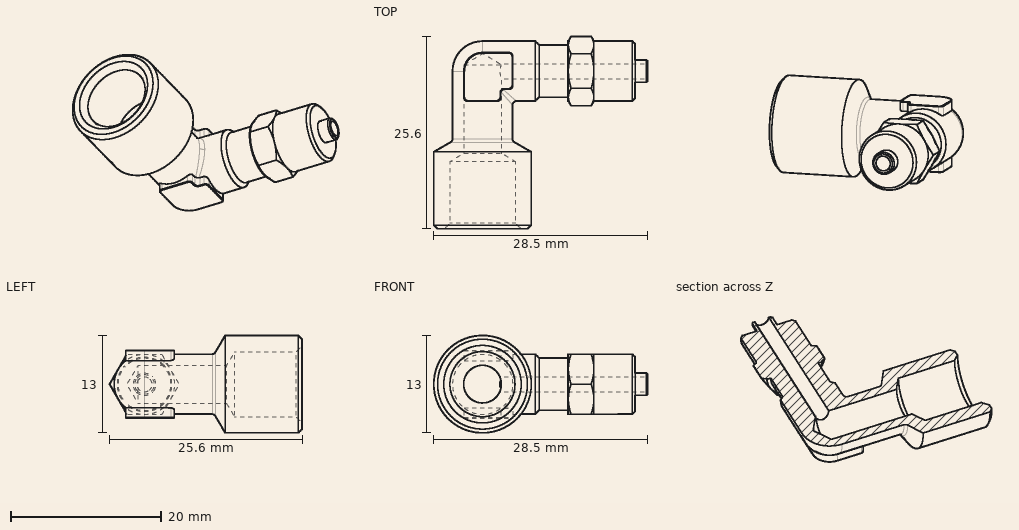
import cadquery as cq
import math


pipe_diameter = 8.0
pipe_radius = pipe_diameter / 2
crotch_fillet = 0.5

socket_end = 21.0
socket_radius = 6.5
socket_shoulder = 10.75
socket_chamfer = 0.5
shoulder_angle = 60
neck_fillet = 0.48

countersink_radius = 5.15
bore_radius = 4.33
bore_depth = 9.0
drill_radius = 2.5
drill_end = 0.85
drill_point_angle = 118

shoulder_end = 7.0
shoulder_chamfer = 0.5
waist_start = shoulder_end + shoulder_chamfer
waist_radius = pipe_radius - shoulder_chamfer
nut_start = 11.31
nut_length = 3.5
nut_bevel_angle = 30
nut_face_radius = 3.82
sleeve_end = 20.3
sleeve_chamfer = 0.37
tube_end = 22.0
tube_diameter = 3.0
tube_radius = tube_diameter / 2
tube_chamfer = 0.2
tube_bore_radius = 1.0

pad_height = 4.5
pad_back = 2.48
pad_front = 4.02
pad_notch = 2.42
pad_corner = 0.5
pad_edge_chamfer = 0.09


def revolve_about_x(points):
    """Turn an (x, radius) outline about the X axis."""
    return cq.Workplane("XY").polyline(points).close().revolve(360, (0, 0, 0), (1, 0, 0))


def revolve_about_y(points):
    """Turn a (radius, y) outline about the Y axis."""
    return cq.Workplane("XY").polyline(points).close().revolve(360, (0, 0, 0), (0, 1, 0))


def make_run():
    """Pipe along -Y that widens over a conical shoulder into the socket."""
    cone_angle = math.radians(shoulder_angle)
    half_angle = cone_angle / 2
    neck_end = (socket_radius - pipe_radius) / math.tan(cone_angle) - socket_shoulder
    tangent = neck_fillet * math.tan(half_angle)
    fillet_start = (pipe_radius, neck_end + tangent)
    fillet_middle = (
        pipe_radius + neck_fillet * (1 - math.cos(half_angle)),
        neck_end + tangent - neck_fillet * math.sin(half_angle),
    )
    fillet_end = (
        pipe_radius + tangent * math.sin(cone_angle),
        neck_end - tangent * math.cos(cone_angle),
    )
    outline = (
        cq.Workplane("XY")
        .moveTo(0, 0)
        .lineTo(pipe_radius, 0)
        .lineTo(*fillet_start)
        .threePointArc(fillet_middle, fillet_end)
        .lineTo(socket_radius, -socket_shoulder)
        .lineTo(socket_radius, socket_chamfer - socket_end)
        .lineTo(socket_radius - socket_chamfer, -socket_end)
        .lineTo(0, -socket_end)
        .close()
    )
    return outline.revolve(360, (0, 0, 0), (0, 1, 0))


def make_branch():
    """Pipe along +X with its shoulder, waist, sleeve and stub tube."""
    return revolve_about_x([
        (0, 0),
        (0, pipe_radius),
        (shoulder_end, pipe_radius),
        (waist_start, waist_radius),
        (nut_start, waist_radius),
        (nut_start, pipe_radius),
        (sleeve_end - sleeve_chamfer, pipe_radius),
        (sleeve_end, pipe_radius - sleeve_chamfer),
        (sleeve_end, tube_radius),
        (tube_end - tube_chamfer, tube_radius),
        (tube_end, tube_radius - tube_chamfer),
        (tube_end, 0),
    ])


def make_ball_corner():
    """Quarter ball that closes the outer corner between the two pipes."""
    half_disc = (
        cq.Workplane("YZ")
        .moveTo(0, -pipe_radius)
        .threePointArc((pipe_radius, 0), (0, pipe_radius))
        .close()
    )
    return half_disc.revolve(90, (0, 0, 0), (0, 1, 0))


def make_elbow():
    """Both pipes joined, with the inner crotch rounded and the outer corner closed."""
    pipes = make_run().union(make_branch())
    crotch = cq.selectors.BoxSelector(
        (0.5 * pipe_radius, -0.7 * pipe_radius, -pipe_radius),
        (0.7 * pipe_radius, -0.5 * pipe_radius, pipe_radius),
    )
    return pipes.edges(crotch).fillet(crotch_fillet).union(make_ball_corner())


def make_nut():
    """Hexagon with flats facing +Z and -Z, its corners bevelled at both ends."""
    corner_radius = pipe_radius / math.cos(math.pi / 6)
    slope = math.tan(math.radians(nut_bevel_angle))
    start_bevel = (corner_radius - nut_face_radius) * slope
    end_bevel = (corner_radius - pipe_radius) * slope
    nut_end = nut_start + nut_length
    hexagon = cq.Workplane("YZ", origin=(nut_start, 0, 0)).polygon(6, 2 * corner_radius)
    bevels = revolve_about_x([
        (nut_start, 0),
        (nut_start, nut_face_radius),
        (nut_start + start_bevel, corner_radius),
        (nut_end - end_bevel, corner_radius),
        (nut_end, pipe_radius),
        (nut_end, 0),
    ])
    return hexagon.extrude(nut_length).intersect(bevels)


def make_pads():
    """Flat pads on both sides of the elbow, notched at the inner corner."""
    pad = (
        cq.Workplane("XY")
        .moveTo(0, pad_back)
        .lineTo(pad_front, pad_back)
        .lineTo(pad_front, -pad_notch)
        .lineTo(pad_notch, -pad_notch)
        .lineTo(pad_notch, -pad_front)
        .lineTo(-pad_back, -pad_front)
        .lineTo(-pad_back, 0)
        .radiusArc((0, pad_back), pad_back)
        .close()
        .extrude(pad_height, both=True)
    )
    square_corners = (
        (pad_front, pad_back),
        (pad_front, -pad_notch),
        (pad_notch, -pad_notch),
        (pad_notch, -pad_front),
        (-pad_back, -pad_front),
    )
    for x, y in square_corners:
        pad = pad.edges(cq.selectors.NearestToPointSelector((x, y, 0))).fillet(pad_corner)
    return pad.faces("|Z").chamfer(pad_edge_chamfer)


def make_socket_bore():
    """Countersunk bore, narrowing to a drilled hole with a conical end."""
    point_slope = 1 / math.tan(math.radians(drill_point_angle / 2))
    countersink_depth = countersink_radius - bore_radius
    bore_floor = bore_depth - socket_end
    return revolve_about_y([
        (0, -socket_end),
        (countersink_radius, -socket_end),
        (bore_radius, countersink_depth - socket_end),
        (bore_radius, bore_floor),
        (drill_radius, bore_floor + (bore_radius - drill_radius) * point_slope),
        (drill_radius, drill_end),
        (0, drill_end + drill_radius * point_slope),
    ])


tube_bore = cq.Workplane("YZ").circle(tube_bore_radius).extrude(tube_end)

result = (
    make_elbow()
    .union(make_nut())
    .union(make_pads())
    .cut(make_socket_bore())
    .cut(tube_bore)
)